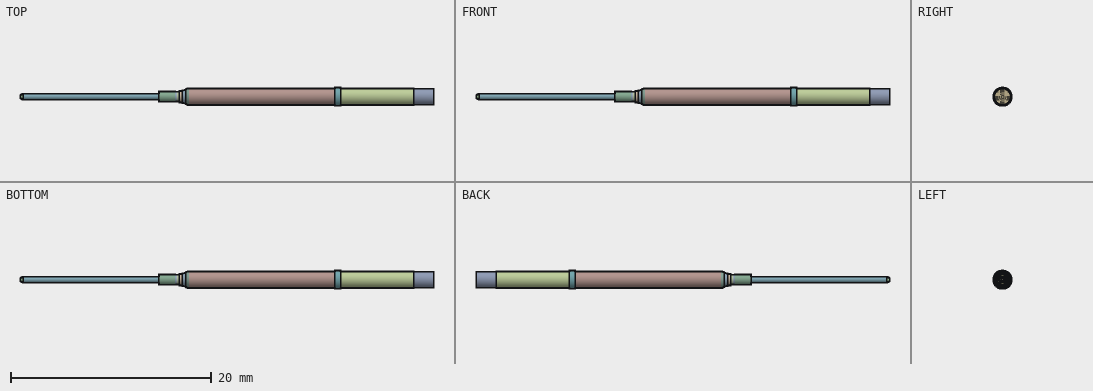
import cadquery as cq

OVERALL_LENGTH = 41.33

PLUNGER_DIAMETER = 0.63
TIP_FLAT_DIAMETER = 0.3
SLEEVE_DIAMETER = 1.05
GROOVE_DIAMETER = 1.0
NECK_DIAMETER = 1.19
CONE_START_DIAMETER = 1.26
CONE_END_DIAMETER = 1.4
LIP_DIAMETER = 1.48
BARREL_DIAMETER = 1.68
COLLAR_DIAMETER = 1.85
TAIL_DIAMETER = 1.64

TIP_LENGTH = 0.3
SLEEVE_START = 13.85
SLEEVE_END = 15.6
NECK_START = 15.9
CONE_START = 16.2
LIP_START = 16.55
LIP_END = 16.85
COLLAR_START = 31.43
COLLAR_END = 32.0
TAIL_LENGTH = 2.0
TAIL_START = OVERALL_LENGTH - TAIL_LENGTH

SLEEVE_CHAMFER_LENGTH = 0.1


def cylinder(diameter, start, end):
    """Round bar on the X axis between two stations."""
    bar = cq.Workplane("YZ").workplane(offset=start)
    return bar.circle(diameter / 2).extrude(end - start)


def plunger():
    """Thin pin with a tapered tip, running back into the sleeve."""
    pin = cylinder(PLUNGER_DIAMETER, 0, SLEEVE_END)
    tip_drop = (PLUNGER_DIAMETER - TIP_FLAT_DIAMETER) / 2
    return pin.faces("<X").chamfer(TIP_LENGTH, tip_drop)


def sleeve():
    """Guide sleeve chamfered at its rear, then a shallow groove and a short neck."""
    groove_depth = (SLEEVE_DIAMETER - GROOVE_DIAMETER) / 2
    front = cylinder(SLEEVE_DIAMETER, SLEEVE_START, SLEEVE_END)
    front = front.faces(">X").chamfer(SLEEVE_CHAMFER_LENGTH, groove_depth)
    groove = cylinder(GROOVE_DIAMETER, SLEEVE_END, NECK_START)
    neck = cylinder(NECK_DIAMETER, NECK_START, CONE_START)
    return front.union(groove).union(neck)


def barrel():
    """Barrel with a small cone rising from near the neck to a rounded front lip."""
    barrel_radius = BARREL_DIAMETER / 2
    profile = (
        cq.Workplane("XY")
        .moveTo(TAIL_START, 0)
        .lineTo(TAIL_START, barrel_radius)
        .lineTo(LIP_END, barrel_radius)
        .tangentArcPoint((LIP_START, LIP_DIAMETER / 2), relative=False)
        .lineTo(LIP_START, CONE_END_DIAMETER / 2)
        .lineTo(CONE_START, CONE_START_DIAMETER / 2)
        .lineTo(CONE_START, 0)
        .close()
    )
    return profile.revolve(360, (0, 0, 0), (1, 0, 0))


def collar():
    """Press-fit ring around the barrel."""
    return cylinder(COLLAR_DIAMETER, COLLAR_START, COLLAR_END)


def tail():
    """Slightly slimmer rear end."""
    return cylinder(TAIL_DIAMETER, TAIL_START, OVERALL_LENGTH)


result = plunger().union(sleeve()).union(barrel()).union(collar()).union(tail())